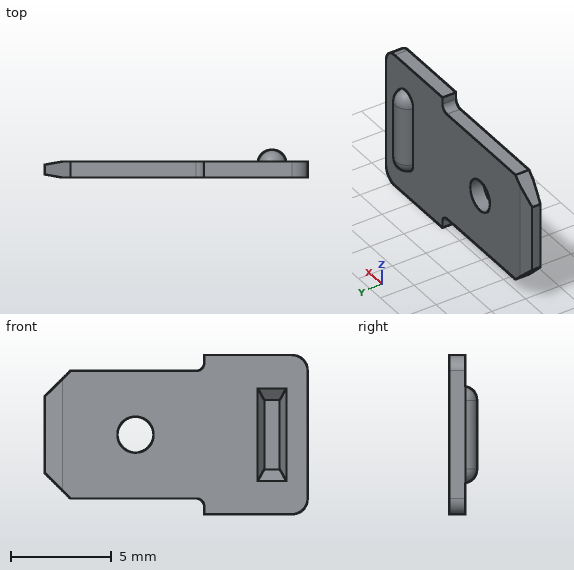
import cadquery as cq

length = 13.08
body_width = 7.93
thickness = 0.81
blade_width = 6.36
blade_length = 7.93
corner_radius = 0.78
notch_radius = 0.39

tip_width = 3.82
tip_corner_length = 1.28
bevel_length = 0.89
tip_thickness = 0.5

hole_diameter = 1.78
hole_x = 4.51

dimple_x = 11.3
pocket_length_x = 1.43
pocket_length_z = 4.59
floor_length_x = 0.76
floor_length_z = 3.44
pocket_depth = 0.59
ridge_height = 0.59
ridge_radius = 0.72
ridge_straight = 3.4


def make_plate():
    """Stepped plate with a pointed tip, its front face on Y = 0."""
    half_body = body_width / 2
    half_blade = blade_width / 2
    half_tip = tip_width / 2
    neck_x = blade_length - notch_radius
    notch_z = half_blade + notch_radius
    arc_side = notch_radius / 2**0.5
    upper_arc = (neck_x + arc_side, notch_z - arc_side)
    lower_arc = (neck_x + arc_side, -notch_z + arc_side)
    plate = (
        cq.Workplane("XZ")
        .moveTo(0, -half_tip)
        .lineTo(0, half_tip)
        .lineTo(tip_corner_length, half_blade)
        .lineTo(neck_x, half_blade)
        .threePointArc(upper_arc, (blade_length, notch_z))
        .lineTo(blade_length, half_body)
        .lineTo(length, half_body)
        .lineTo(length, -half_body)
        .lineTo(blade_length, -half_body)
        .lineTo(blade_length, -notch_z)
        .threePointArc(lower_arc, (neck_x, -half_blade))
        .lineTo(tip_corner_length, -half_blade)
        .close()
        .extrude(-thickness)
    )
    return plate.edges("|Y and >X").fillet(corner_radius)


def make_bevel_cutters():
    """Wedges that thin both faces toward the tip."""
    bevel_depth = (thickness - tip_thickness) / 2
    front = (
        cq.Workplane("XY")
        .polyline([(0, 0), (bevel_length, 0), (0, bevel_depth)])
        .close()
        .extrude(body_width / 2, both=True)
    )
    back = front.mirror("XZ").translate((0, thickness, 0))
    return front.union(back)


def make_hole_cutter():
    return (
        cq.Workplane("XZ")
        .center(hole_x, 0)
        .circle(hole_diameter / 2)
        .extrude(-thickness)
    )


def make_ridge():
    """Round bar with ball ends, only partly above the back face."""
    axis_y = thickness + ridge_height - ridge_radius
    bar = cq.Workplane("XY").circle(ridge_radius).extrude(ridge_straight / 2, both=True)
    for end_z in (-ridge_straight / 2, ridge_straight / 2):
        bar = bar.union(cq.Workplane("XY").sphere(ridge_radius).translate((0, 0, end_z)))
    bar = bar.translate((dimple_x, axis_y, 0))
    above_back = (
        cq.Workplane("XY")
        .box(length, thickness, body_width)
        .translate((dimple_x, 1.5 * thickness, 0))
    )
    return bar.intersect(above_back)


def make_pocket_cutter():
    return (
        cq.Workplane("XZ")
        .center(dimple_x, 0)
        .rect(pocket_length_x, pocket_length_z)
        .workplane(offset=-pocket_depth)
        .rect(floor_length_x, floor_length_z)
        .loft(combine=True)
    )


result = (
    make_plate()
    .cut(make_bevel_cutters())
    .cut(make_hole_cutter())
    .union(make_ridge())
    .cut(make_pocket_cutter())
)